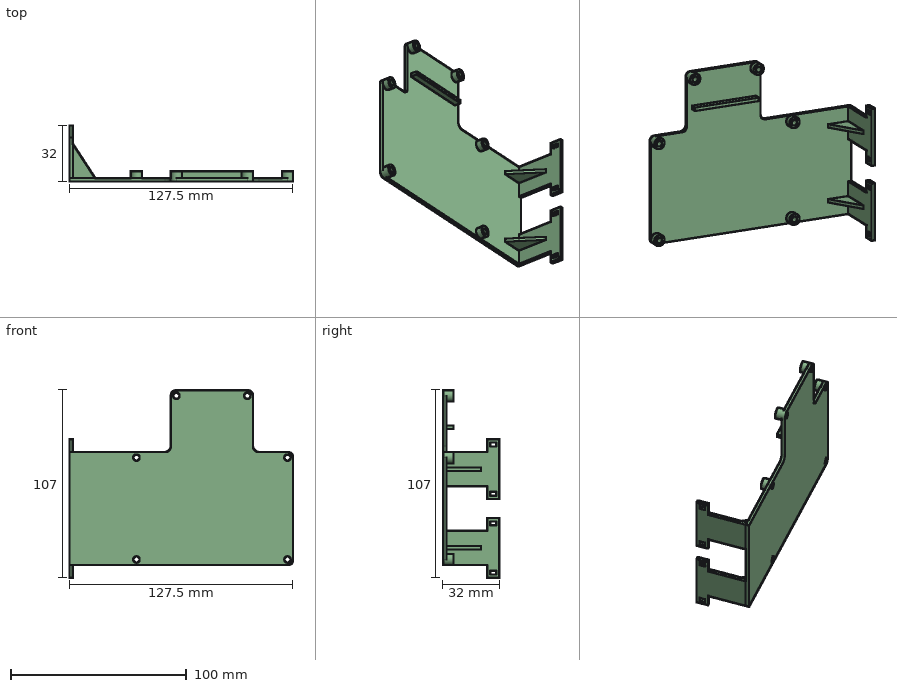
import cadquery as cq


sheet = 2.0
boss_diameter = 6.5
hole_diameter = 3.5
corner_radius = boss_diameter / 2

plate_length = 127.5
plate_height = 64.5
tab_left = 57.8
tab_width = 46.9
tab_right = tab_left + tab_width
plate_top = 99.7

standoff_height = 4.0
boss_top = sheet + standoff_height
boss_column_x = 38.2
boss_low_z = corner_radius
boss_high_z = plate_height - corner_radius
boss_right_x = plate_length - corner_radius
boss_tab_z = plate_top - corner_radius
boss_centres = [
    (boss_column_x, boss_low_z),
    (boss_column_x, boss_high_z),
    (boss_right_x, boss_low_z),
    (boss_right_x, boss_high_z),
    (tab_left + corner_radius, boss_tab_z),
    (tab_right - corner_radius, boss_tab_z),
]

rib_bottom = 77.5
rib_left = tab_left + corner_radius
rib_length = tab_width - 2 * corner_radius

bracket_depth = 32.0
web_height = 19.6
flange_width = 7.0
ear_height = 7.3
slot_length = 3.3
slot_height = 2.0
slot_end_distance = 3.0
gusset_length = 12.8
gusset_depth = 19.5
bracket_bottoms = [0, plate_height - web_height]


def face_plane():
    """Sketch plane on the outer face with local axes X and Z; negative extrusion goes toward +Y."""
    return cq.Workplane("XZ")


def make_plate_sheet():
    """T-shaped sheet, rounded everywhere except at the bracket edge."""
    outline = [
        (0, 0),
        (plate_length, 0),
        (plate_length, plate_height),
        (tab_right, plate_height),
        (tab_right, plate_top),
        (tab_left, plate_top),
        (tab_left, plate_height),
        (0, plate_height),
    ]
    blank = face_plane().polyline(outline).close().extrude(-sheet)
    rounded_region = cq.selectors.BoxSelector(
        (sheet, -sheet, -sheet),
        (plate_length + sheet, 2 * sheet, plate_top + sheet),
    )
    return blank.edges("|Y").edges(rounded_region).fillet(corner_radius)


def make_boss(x, z):
    """Standoff through the sheet, turned so its seam faces -Z and merges with the corner rounding."""
    boss = face_plane().circle(boss_diameter / 2).extrude(-boss_top)
    return boss.rotate((0, 0, 0), (0, 1, 0), 90).translate((x, 0, z))


def make_plate():
    """Plate with its standoffs, stiffening rib and through holes."""
    plate = make_plate_sheet()
    for x, z in boss_centres:
        plate = plate.union(make_boss(x, z))

    rib = cq.Workplane("XY").box(rib_length, standoff_height, sheet, centered=False)
    plate = plate.union(rib.translate((rib_left, sheet, rib_bottom)))

    holes = face_plane().pushPoints(boss_centres).circle(hole_diameter / 2).extrude(-boss_top)
    return plate.cut(holes)


def make_bracket(bottom):
    """Upright web with a slotted flange at its far end and a central gusset."""
    top = bottom + web_height
    flange_start = bracket_depth - flange_width
    flange_bottom = bottom - ear_height
    flange_top = top + ear_height
    outline = [
        (sheet, bottom),
        (flange_start, bottom),
        (flange_start, flange_bottom),
        (bracket_depth, flange_bottom),
        (bracket_depth, flange_top),
        (flange_start, flange_top),
        (flange_start, top),
        (sheet, top),
    ]
    wall = cq.Workplane("YZ").polyline(outline).close().extrude(sheet)

    slot_y = bracket_depth - flange_width / 2
    slot_centres = [
        (slot_y, flange_bottom + slot_end_distance),
        (slot_y, flange_top - slot_end_distance),
    ]
    slots = cq.Workplane("YZ").pushPoints(slot_centres).rect(slot_length, slot_height).extrude(sheet)

    gusset_bottom = bottom + (web_height - sheet) / 2
    gusset = (
        cq.Workplane("XY", origin=(sheet, sheet, gusset_bottom))
        .polyline([(0, 0), (gusset_length, 0), (0, gusset_depth)])
        .close()
        .extrude(sheet)
    )
    return wall.cut(slots).union(gusset)


plate = make_plate()
brackets = [make_bracket(bottom) for bottom in bracket_bottoms]

result = cq.Compound.makeCompound([plate.val(), *[bracket.val() for bracket in brackets]])